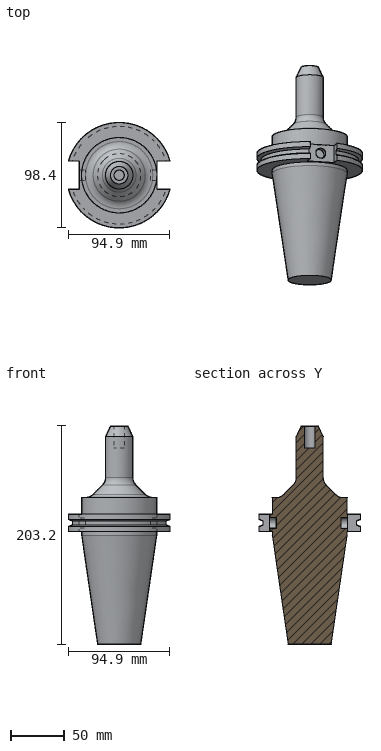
import cadquery as cq
import math

total_height = 203.2
taper_height = 101.4
flange_bottom = 104.9
flange_top = 121.1
collar_top = 136.8
tip_height = 10.0
shank_top = total_height - tip_height

taper_small_radius = 20.1
taper_large_radius = 35.0
collar_radius = 35.2
flange_radius = 49.2
shank_radius = 12.8
tip_radius = 8.1

groove_radius = 45.5
groove_floor_width = 3.7
groove_mouth_width = 6.5

blend_radius = 10.0
shoulder_outer_radius = 31.3

slot_width = 26.0
shallow_slot_floor = 37.4
deep_slot_floor = 35.4
hole_diameter = 9.5
bore_depth = 20.3
side_hole_depth = 6.0

flange_middle = (flange_bottom + flange_top) / 2


def blend_offsets(angle):
    """Offsets along and away from the straight tangent after turning by angle degrees."""
    turn = math.radians(angle)
    return blend_radius * math.sin(turn), blend_radius * (1 - math.cos(turn))


def make_body():
    half_along, half_away = blend_offsets(22.5)
    full_along, full_away = blend_offsets(45)
    tangent_length = blend_radius * math.tan(math.radians(22.5))

    cone_rise = shoulder_outer_radius - tangent_length - shank_radius
    blend_top = collar_top + cone_rise + tangent_length

    return (
        cq.Workplane("XZ")
        .moveTo(0, 0)
        .lineTo(taper_small_radius, 0)
        .lineTo(taper_large_radius, taper_height)
        .lineTo(taper_large_radius, flange_bottom)
        .lineTo(flange_radius, flange_bottom)
        .lineTo(flange_radius, flange_middle - groove_mouth_width / 2)
        .lineTo(groove_radius, flange_middle - groove_floor_width / 2)
        .lineTo(groove_radius, flange_middle + groove_floor_width / 2)
        .lineTo(flange_radius, flange_middle + groove_mouth_width / 2)
        .lineTo(flange_radius, flange_top)
        .lineTo(collar_radius, flange_top)
        .lineTo(collar_radius, collar_top)
        .lineTo(shoulder_outer_radius, collar_top)
        .threePointArc(
            (shoulder_outer_radius - half_along, collar_top + half_away),
            (shoulder_outer_radius - full_along, collar_top + full_away),
        )
        .lineTo(shank_radius + full_away, blend_top - full_along)
        .threePointArc(
            (shank_radius + half_away, blend_top - half_along),
            (shank_radius, blend_top),
        )
        .lineTo(shank_radius, shank_top)
        .lineTo(tip_radius, total_height)
        .lineTo(0, total_height)
        .close()
        .revolve(360, (0, 0, 0), (0, 1, 0))
    )


def make_drive_slot(side, floor_distance):
    """Slot through the flange with a blind radial hole in its floor; side is +1 or -1 along X."""
    slot_depth = flange_radius - floor_distance
    slot = cq.Workplane("XY").box(slot_depth, slot_width, flange_top - flange_bottom)
    slot = slot.translate((side * (floor_distance + slot_depth / 2), 0, flange_middle))
    hole = cq.Solid.makeCylinder(
        hole_diameter / 2,
        side_hole_depth,
        cq.Vector(side * floor_distance, 0, flange_middle),
        cq.Vector(-side, 0, 0),
    )
    return slot.union(cq.Workplane(obj=hole))


def make_tip_bore():
    return (
        cq.Workplane("XY")
        .workplane(offset=total_height - bore_depth)
        .circle(hole_diameter / 2)
        .extrude(bore_depth)
    )


result = make_body().cut(make_tip_bore())
for side, floor_distance in ((1, deep_slot_floor), (-1, shallow_slot_floor)):
    result = result.cut(make_drive_slot(side, floor_distance))